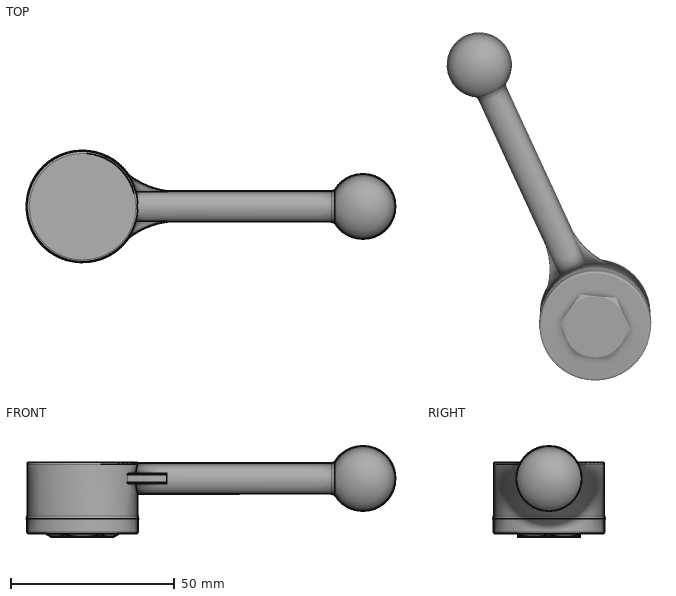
import cadquery as cq
import math

body_diameter = 34.0
rim_diameter = 34.4
base_diameter = 34.1
hub_bottom = 1.0
rim_z = 5.7
flare_height = 0.9
hub_top = 23.0
hub_edge = 0.7

hex_corner_diameter = 22.0
hex_flat_width = hex_corner_diameter * math.cos(math.radians(30))
hex_bevel_angle = 30

total_length = 113.2
total_height = 28.0
ball_diameter = 20.0
rod_diameter = 9.5
neck_diameter = 10.1
neck_length = 1.0
ball_x = total_length - rim_diameter / 2 - ball_diameter / 2
lever_z = total_height - ball_diameter / 2

web_thickness = 3.3
web_edge = 0.6
web_hub_x = 13.7
web_tip_x = 25.9
web_mid_x = 19.1
web_mid_y = 6.7


def make_hub():
    """Turned hub with rounded top and bottom edges."""
    return (
        cq.Workplane("XZ")
        .moveTo(0, hub_bottom)
        .lineTo(base_diameter / 2, hub_bottom)
        .lineTo(base_diameter / 2, rim_z)
        .lineTo(rim_diameter / 2, rim_z)
        .lineTo(body_diameter / 2, rim_z + flare_height)
        .lineTo(body_diameter / 2, hub_top)
        .lineTo(0, hub_top)
        .close()
        .revolve(360, (0, 0, 0), (0, 1, 0))
        .faces("<Z or >Z").edges().fillet(hub_edge)
    )


def make_hex_end():
    """Hexagon with corners on the X axis, bevelled from the circle that touches its flats."""
    hexagon = cq.Workplane("XY").polygon(6, hex_corner_diameter).extrude(hub_bottom)
    bottom_radius = hex_flat_width / 2
    top_radius = bottom_radius + hub_bottom / math.tan(math.radians(hex_bevel_angle))
    bevel_cone = cq.Workplane("XY").add(cq.Solid.makeCone(bottom_radius, top_radius, hub_bottom))
    return hexagon.intersect(bevel_cone)


def make_lever():
    """Rod from the hub axis, flaring into the ball."""
    ball_radius = ball_diameter / 2
    neck_radius = neck_diameter / 2
    neck_end_x = ball_x - math.sqrt(ball_radius**2 - neck_radius**2)
    return (
        cq.Workplane("XZ", origin=(0, 0, lever_z))
        .moveTo(0, 0)
        .lineTo(0, rod_diameter / 2)
        .lineTo(neck_end_x - neck_length, rod_diameter / 2)
        .lineTo(neck_end_x, neck_radius)
        .threePointArc((ball_x, ball_radius), (ball_x + ball_radius, 0))
        .close()
        .revolve(360, (0, 0, 0), (1, 0, 0))
    )


def make_webs():
    """Flat plate through the hub whose concave sides run from the hub out to the rod."""
    hub_y = math.sqrt((body_diameter / 2) ** 2 - web_hub_x**2)
    tip_y = rod_diameter / 2
    return (
        cq.Workplane("XY", origin=(0, 0, lever_z - web_thickness / 2))
        .moveTo(0, hub_y)
        .lineTo(web_hub_x, hub_y)
        .threePointArc((web_mid_x, web_mid_y), (web_tip_x, tip_y))
        .lineTo(web_tip_x, -tip_y)
        .threePointArc((web_mid_x, -web_mid_y), (web_hub_x, -hub_y))
        .lineTo(0, -hub_y)
        .close()
        .extrude(web_thickness)
        .faces("<Z or >Z").edges("%CIRCLE").fillet(web_edge)
    )


result = make_hub().union(make_hex_end()).union(make_lever()).union(make_webs())